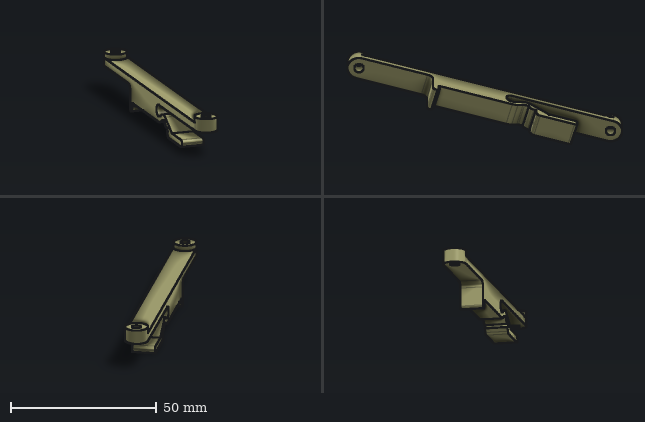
import cadquery as cq
import math

length = 98.0
width = 8.0
height = 14.2
eye_hole_diameter = 3.1
bar_bottom = 9.3
bar_top = 12.25
eye_x = (length - width) / 2

block_left = -19.6
block_bottom = 3.2
block_fillet = 2.0

hook_neck_right = -17.5
hook_tip_x = -17.1
hook_tip_z = 2.1
hook_nose_radius = 1.0

arm_thickness = 2.1
slot_radius = 2.1
slot_x = 8.7
slot_z = bar_bottom - slot_radius
crest_x = 13.6
underside_crest_x = 13.1
crest_top = 7.1
crest_radius = 3.1
crest_z = crest_top - crest_radius
slot_outer_radius = slot_z - block_bottom
crest_inner_radius = crest_radius - arm_thickness

bulge_radius = 1.8
bulge_x = 16.5
catch_wall_x = 17.4
catch_tip_x = 17.0
catch_bottom_x = 17.9
catch_radius = 1.2
tab_start_x = 22.0
tab_end_x = 32.0
tab_thickness = 2.5
tab_corner_radius = 1.1


def polar(x, z, radius, angle):
    """Point on a circle in the XZ plane."""
    return (x + radius * math.cos(angle), z + radius * math.sin(angle))


def bend_normal(end_x, first_radius, second_radius):
    """Angle from the slot centre to where a line touches it, crossing over to a crest arc at end_x."""
    distance = math.hypot(end_x - slot_x, crest_z - slot_z)
    direction = math.atan2(crest_z - slot_z, end_x - slot_x)
    return direction - math.acos((first_radius + second_radius) / distance)


slot_normal = bend_normal(crest_x, slot_radius, crest_radius)
crest_normal = slot_normal + math.pi
underside_normal = bend_normal(underside_crest_x, slot_outer_radius, crest_inner_radius)
underside_crest_normal = underside_normal + math.pi

tab_distance = math.hypot(tab_start_x - crest_x, tab_thickness - crest_z)
tab_direction = math.atan2(tab_thickness - crest_z, tab_start_x - crest_x)
descent_normal = tab_direction + math.acos(crest_radius / tab_distance)


def make_bar():
    bar = cq.Workplane("XY").box(2 * eye_x, width, bar_top - bar_bottom, centered=(True, True, False))
    return bar.translate((0, 0, bar_bottom))


def make_eyes():
    eyes = cq.Workplane("XY", origin=(0, 0, bar_bottom)).pushPoints([(-eye_x, 0), (eye_x, 0)])
    return eyes.circle(width / 2).extrude(height - bar_bottom)


def make_clip():
    down = -math.pi / 2
    up = math.pi / 2
    nose_x = block_left + hook_nose_radius
    nose_end_angle = math.radians(-50)
    bulge_top = crest_top - arm_thickness
    bulge_z = block_bottom + bulge_radius
    outline = (
        cq.Workplane("XZ", origin=(0, width / 2, 0))
        .moveTo(block_left - block_fillet, bar_bottom)
        .threePointArc(
            polar(block_left - block_fillet, bar_bottom - block_fillet, block_fillet, math.pi / 4),
            (block_left, bar_bottom - block_fillet),
        )
        .lineTo(block_left, hook_nose_radius)
        .threePointArc(
            (nose_x, 0),
            polar(nose_x, hook_nose_radius, hook_nose_radius, nose_end_angle),
        )
        .lineTo(hook_tip_x, hook_tip_z)
        .lineTo(hook_neck_right, hook_tip_z)
        .lineTo(hook_neck_right, block_bottom)
        .lineTo(slot_x, block_bottom)
        .threePointArc(
            polar(slot_x, slot_z, slot_outer_radius, (down + underside_normal) / 2),
            polar(slot_x, slot_z, slot_outer_radius, underside_normal),
        )
        .lineTo(*polar(underside_crest_x, crest_z, crest_inner_radius, underside_crest_normal))
        .threePointArc(
            polar(underside_crest_x, crest_z, crest_inner_radius, (underside_crest_normal + up) / 2),
            (underside_crest_x, bulge_top),
        )
        .lineTo(bulge_x - bulge_radius, bulge_top)
        .threePointArc(
            polar(bulge_x, bulge_z, bulge_radius, math.radians(225)),
            (bulge_x, block_bottom),
        )
        .lineTo(catch_wall_x, block_bottom)
        .lineTo(catch_wall_x, hook_tip_z)
        .lineTo(catch_tip_x, hook_tip_z)
        .lineTo(catch_bottom_x, 0)
        .lineTo(tab_end_x, 0)
        .lineTo(tab_end_x, tab_thickness)
        .lineTo(tab_start_x, tab_thickness)
        .lineTo(*polar(crest_x, crest_z, crest_radius, descent_normal))
        .threePointArc(
            (crest_x, crest_top),
            polar(crest_x, crest_z, crest_radius, crest_normal),
        )
        .lineTo(*polar(slot_x, slot_z, slot_radius, slot_normal))
        .threePointArc(
            (slot_x - slot_radius, slot_z),
            (slot_x, bar_bottom),
        )
        .lineTo(slot_x, bar_top)
        .lineTo(block_left - block_fillet, bar_top)
        .close()
    )
    clip = outline.extrude(width)
    clip = clip.edges("|Y").edges(">X").fillet(tab_corner_radius)
    catch_corner = cq.selectors.NearestToPointSelector((catch_bottom_x, 0, 0))
    return clip.edges("|Y").edges(catch_corner).fillet(catch_radius)


def make_eye_holes():
    holes = cq.Workplane("XY").pushPoints([(-eye_x, 0), (eye_x, 0)])
    return holes.circle(eye_hole_diameter / 2).extrude(height)


result = make_bar().union(make_eyes()).union(make_clip()).cut(make_eye_holes())